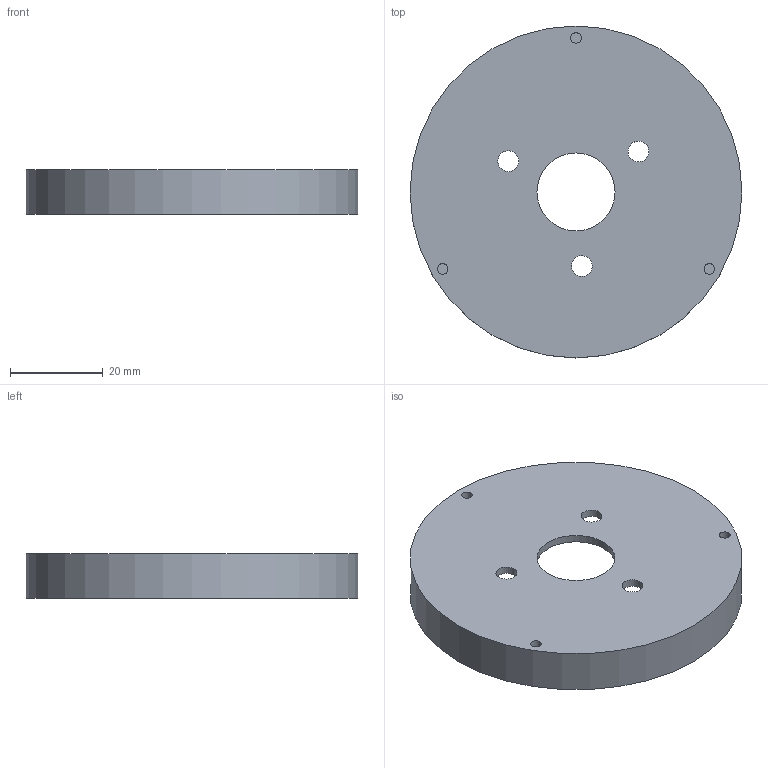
import cadquery as cq

outer_diameter = 71.67
height = 9.52
plate_thickness = 1.7

bore_diameter = 16.85

mount_hole_diameter = 4.5
mount_circle_radius = 16.05
mount_hole_angles = (32.9, 155.5, 274.5)

rim_hole_diameter = 2.3
rim_hole_depth = 6.0
rim_circle_radius = 33.25
rim_hole_count = 3
rim_first_angle = 90.0

rim_width = 2 * (outer_diameter / 2 - rim_circle_radius)
cavity_diameter = outer_diameter - 2 * rim_width
cavity_depth = height - plate_thickness


def vertical_cylinder(diameter, bottom, top, radius=0.0, angle=0.0):
    """Upright cylinder whose axis lies at a polar position around Z."""
    axis_point = cq.Vector(radius, 0, bottom)
    cylinder = cq.Solid.makeCylinder(diameter / 2, top - bottom, axis_point)
    return cq.Workplane(cylinder.rotate(cq.Vector(0, 0, 0), cq.Vector(0, 0, 1), angle))


def make_shell():
    """Top plate and rim in one piece, hollow from below."""
    disc = vertical_cylinder(outer_diameter, 0, height)
    return disc.cut(vertical_cylinder(cavity_diameter, 0, cavity_depth))


def cut_plate_holes(body):
    """Central bore and the clearance holes around it."""
    body = body.cut(vertical_cylinder(bore_diameter, 0, height))
    for angle in mount_hole_angles:
        body = body.cut(vertical_cylinder(mount_hole_diameter, 0, height, mount_circle_radius, angle))
    return body


def cut_rim_holes(body):
    """Blind holes sunk into the rim from the top face."""
    hole_bottom = height - rim_hole_depth
    for index in range(rim_hole_count):
        angle = rim_first_angle + index * 360 / rim_hole_count
        body = body.cut(vertical_cylinder(rim_hole_diameter, hole_bottom, height, rim_circle_radius, angle))
    return body


result = cut_rim_holes(cut_plate_holes(make_shell()))